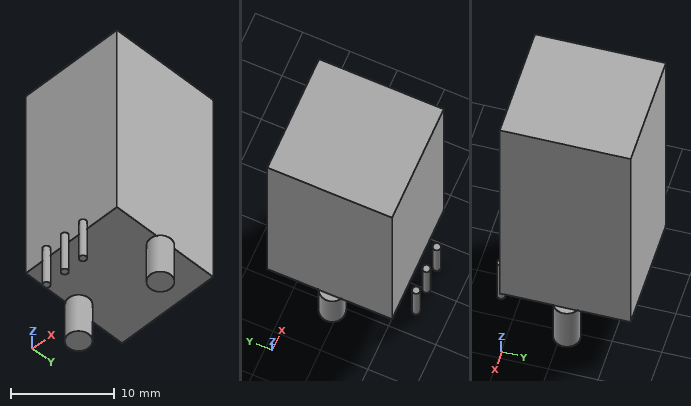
import cadquery as cq

housing_width = 12.5
housing_depth = 13.2
housing_height = 25.0

post_diameter = 2.7
post_spacing = 11.2

pin_diameter = 0.8
pin_pitch = 2.5
pin_row_offset = 7.5
pin_columns = (-1, 0, 1)

leg_length = 5.1


def make_housing():
    """Plain block standing on the XY plane, centred on the Z axis."""
    return cq.Workplane("XY").box(
        housing_width, housing_depth, housing_height, centered=(True, True, False)
    )


def make_leg(diameter, x, y):
    """Round leg reaching from the underside plane down to the leg length."""
    return cq.Workplane("XY").center(x, y).circle(diameter / 2).extrude(-leg_length)


housing = make_housing()
posts = [make_leg(post_diameter, side * post_spacing / 2, 0) for side in (-1, 1)]
pins = [make_leg(pin_diameter, column * pin_pitch, -pin_row_offset) for column in pin_columns]

result = cq.Compound.makeCompound([body.val() for body in [housing, *posts, *pins]])